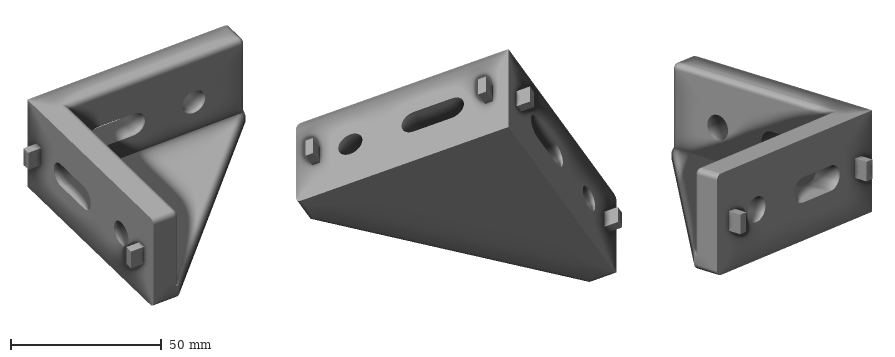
import cadquery as cq

overall = 84.0
height = 36.0
peg_length = 5.0
leg_thickness = 10.0
web_thickness = 6.05
edge_radius = 2.0

bore_diameter = 9.0
slot_length = 23.2
slot_center = 28.1
hole_center = 58.8

peg_width = 2.9
peg_height = 7.0
peg_centers = (7.2, 71.5)

leg_length = overall - peg_length
mid_height = height / 2


def legs():
    """Two equal legs with their outer corner at the origin, rounded at the ends and along the inner top edges."""
    outline = [
        (0, 0),
        (leg_length, 0),
        (leg_length, leg_thickness),
        (leg_thickness, leg_thickness),
        (leg_thickness, leg_length),
        (0, leg_length),
    ]
    body = cq.Workplane("XY").polyline(outline).close().extrude(height)
    inner_end_corners = body.edges("|Z").edges(">(1,1,0)")
    top_edges = body.faces(">Z").edges("not(<X or <Y)")
    bottom_end_edges = body.faces("<Z").edges(">X or >Y")
    rounded_edges = inner_end_corners.add(top_edges).add(bottom_end_edges)
    return rounded_edges.fillet(edge_radius)


def web():
    """Plate that closes the bottom between the legs, rounded along its sloped side and under its ends."""
    outline = [
        (0, 0),
        (leg_length, 0),
        (leg_length, leg_thickness),
        (leg_thickness, leg_length),
        (0, leg_length),
    ]
    plate = cq.Workplane("XY").polyline(outline).close().extrude(web_thickness)
    top_sloped_edge = plate.faces(">Z").edges(">(1,1,0)")
    bottom_edges = plate.faces("<Z").edges("not(<X or <Y)")
    return top_sloped_edge.add(bottom_edges).fillet(edge_radius)


def openings():
    """Slot and round hole through the leg along X."""
    plane = cq.Workplane("XZ", origin=(0, 0, mid_height))
    slot = plane.center(slot_center, 0).slot2D(slot_length, bore_diameter).extrude(-leg_thickness)
    hole = plane.center(hole_center, 0).circle(bore_diameter / 2).extrude(-leg_thickness)
    return slot.union(hole)


def pegs():
    """Locating pegs on the outer face of the leg along X."""
    points = [(center, 0) for center in peg_centers]
    plane = cq.Workplane("XZ", origin=(0, 0, mid_height))
    return plane.pushPoints(points).rect(peg_width, peg_height).extrude(peg_length)


def on_other_leg(feature):
    """Mirror a feature across the diagonal plane X = Y."""
    return feature.mirror("YZ").rotate((0, 0, 0), (0, 0, 1), -90)


result = legs().union(web())
result = result.cut(openings()).cut(on_other_leg(openings()))
result = result.union(pegs()).union(on_other_leg(pegs()))